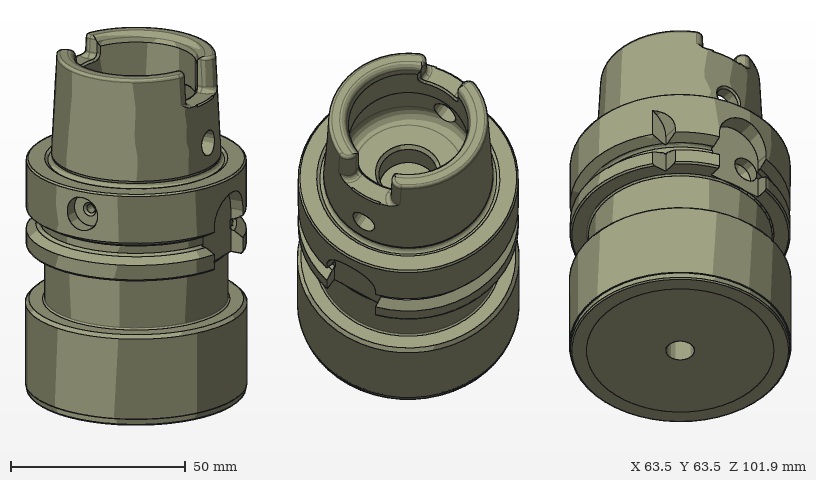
import cadquery as cq
import math

NUT_HEIGHT = 27.4
TOTAL_HEIGHT = 101.9
FLANGE_BOTTOM = 43.8
FLANGE_TOP = 70.1
TAPER_BOTTOM = 71.6

NUT_DIAMETER = 63.5
NUT_RADIUS = NUT_DIAMETER / 2
NUT_TOP_CHAMFER = 1.0
NUT_LIP_RADIUS = 31.4
NUT_LIP_HEIGHT = 2.0
NUT_LIP_CHAMFER = 0.4
NUT_BORE_RADIUS = 26.8

BODY_RADIUS = 26.3
BODY_FILLET = NUT_BORE_RADIUS - BODY_RADIUS
FLANGE_RADIUS = 31.5
FLANGE_EDGE_CHAMFER = 0.5

GROOVE_RADIUS = 27.5
GROOVE_MIDDLE = 52.1
GROOVE_HALF_WIDTH = 3.4
GROOVE_CONE_RADIUS = 28.7
GROOVE_CONE_HALF_WIDTH = 1.7
GROOVE_FLOOR_HALF_WIDTH = 1.1
GROOVE_FILLET = 1.2

TAPER_BASE_RADIUS = 24.3
TAPER_TOP_RADIUS = 22.7
RIM_EDGE_FILLET = 0.9

RELIEF_NECK_RADIUS = 24.0
RELIEF_NECK_HEIGHT = 70.9
RELIEF_FLOOR_RADIUS = 25.3
RELIEF_FLOOR_HEIGHT = 69.6
RELIEF_FILLET = 1.4
RELIEF_OUTER_RADIUS = 26.2

MOUTH_RADIUS = 19.7
MOUTH_FILLET = 2.1
MOUTH_FILLET_WIDTH = 2.0
MOUTH_FILLET_HEIGHT = 1.4
MOUTH_BORE_RADIUS = 17.1
MOUTH_BORE_TOP = 99.1
LIP_BOTTOM = 89.0
CLAMP_CONE_ANGLE = 30.0
CAVITY_RADIUS = 19.8
CAVITY_FILLET = 3.9
CAVITY_FLOOR = 73.2
TUBE_SEAT_RADIUS = 8.4
TUBE_SEAT_CHAMFER = 1.0
TUBE_SEAT_DEPTH = 8.2
COOLANT_HOLE_RADIUS = 4.1

RIM_SLOT_WIDTH = 12.5
RIM_SLOT_FLOOR_FILLET = 1.5
RIM_SLOT_START = 8.6
RIM_SLOTS = ((-1, 95.5, 2.2), (1, 91.5, 2.9))
RIM_SLOT_EDGE_CHAMFER = 0.4
RIM_SLOT_INNER_CHAMFER = 0.6

FLANGE_SLOT_WIDTH = 16.5
FLANGE_SLOT_TOP = 65.2
FLANGE_SLOT_FLOOR = 26.4
NOTCH_FLOOR = 20.0
NOTCH_CENTRE_Y = 27.9

CROSS_HOLE_RADIUS = 3.7
CROSS_HOLE_HEIGHT = 78.9
CROSS_HOLE_CHAMFER = 0.6
DATA_HOLE_RADIUS = 5.0
DATA_HOLE_HEIGHT = 62.9
DATA_HOLE_FLOOR = 26.9
VENT_RADIUS = 1.3
VENT_CHAMFER = 0.7
VENT_DEPTH = 4.1
DIMPLE_RADIUS = 3.9
DIMPLE_Y = -4.0
DIMPLE_DEPTH = 3.1
DIMPLE_POINT_ANGLE = 118.0

PICK = 0.1


def revolve_profile(profile):
    """Turn a closed radius-height outline about the Z axis."""
    return profile.close().revolve(360, (0, 0, 0), (0, 1, 0))


def make_nut():
    return revolve_profile(
        cq.Workplane("XZ")
        .moveTo(NUT_BORE_RADIUS, 0)
        .lineTo(NUT_LIP_RADIUS - NUT_LIP_CHAMFER, 0)
        .lineTo(NUT_LIP_RADIUS, NUT_LIP_CHAMFER)
        .lineTo(NUT_LIP_RADIUS, NUT_LIP_HEIGHT)
        .lineTo(NUT_RADIUS, NUT_LIP_HEIGHT)
        .lineTo(NUT_RADIUS, NUT_HEIGHT - NUT_TOP_CHAMFER)
        .lineTo(NUT_RADIUS - NUT_TOP_CHAMFER, NUT_HEIGHT)
        .lineTo(NUT_BORE_RADIUS, NUT_HEIGHT)
    )


def make_holder_blank():
    """Solid of revolution: threaded plug, body, grooved flange and taper."""
    groove = GROOVE_MIDDLE
    chamfer = FLANGE_EDGE_CHAMFER
    return revolve_profile(
        cq.Workplane("XZ")
        .moveTo(0, 0)
        .lineTo(NUT_BORE_RADIUS, 0)
        .lineTo(NUT_BORE_RADIUS, NUT_HEIGHT)
        .radiusArc((BODY_RADIUS, NUT_HEIGHT + BODY_FILLET), BODY_FILLET)
        .lineTo(BODY_RADIUS, FLANGE_BOTTOM - BODY_FILLET)
        .radiusArc((BODY_RADIUS + BODY_FILLET, FLANGE_BOTTOM), BODY_FILLET)
        .lineTo(FLANGE_RADIUS - chamfer, FLANGE_BOTTOM)
        .lineTo(FLANGE_RADIUS, FLANGE_BOTTOM + chamfer)
        .lineTo(FLANGE_RADIUS, groove - GROOVE_HALF_WIDTH)
        .lineTo(GROOVE_CONE_RADIUS, groove - GROOVE_CONE_HALF_WIDTH)
        .radiusArc((GROOVE_RADIUS, groove - GROOVE_FLOOR_HALF_WIDTH), GROOVE_FILLET)
        .lineTo(GROOVE_RADIUS, groove + GROOVE_FLOOR_HALF_WIDTH)
        .radiusArc((GROOVE_CONE_RADIUS, groove + GROOVE_CONE_HALF_WIDTH), GROOVE_FILLET)
        .lineTo(FLANGE_RADIUS, groove + GROOVE_HALF_WIDTH)
        .lineTo(FLANGE_RADIUS, FLANGE_TOP - chamfer)
        .lineTo(FLANGE_RADIUS - chamfer, FLANGE_TOP)
        .lineTo(RELIEF_OUTER_RADIUS, FLANGE_TOP)
        .lineTo(RELIEF_FLOOR_RADIUS, RELIEF_FLOOR_HEIGHT)
        .radiusArc((RELIEF_NECK_RADIUS, RELIEF_NECK_HEIGHT), RELIEF_FILLET)
        .lineTo(TAPER_BASE_RADIUS, TAPER_BOTTOM)
        .lineTo(TAPER_TOP_RADIUS, TOTAL_HEIGHT)
        .lineTo(0, TOTAL_HEIGHT)
    )


def make_cavity():
    """Void of the hollow taper with its clamping undercut, tube seat and coolant hole."""
    clamp_drop = (CAVITY_RADIUS - MOUTH_BORE_RADIUS) * math.tan(math.radians(CLAMP_CONE_ANGLE))
    seat_rim = TUBE_SEAT_RADIUS + TUBE_SEAT_CHAMFER
    return revolve_profile(
        cq.Workplane("XZ")
        .moveTo(0, TOTAL_HEIGHT)
        .lineTo(MOUTH_RADIUS, TOTAL_HEIGHT)
        .radiusArc((MOUTH_RADIUS - MOUTH_FILLET_WIDTH, TOTAL_HEIGHT - MOUTH_FILLET_HEIGHT), -MOUTH_FILLET)
        .lineTo(MOUTH_BORE_RADIUS, MOUTH_BORE_TOP)
        .lineTo(MOUTH_BORE_RADIUS, LIP_BOTTOM)
        .lineTo(CAVITY_RADIUS, LIP_BOTTOM - clamp_drop)
        .lineTo(CAVITY_RADIUS, CAVITY_FLOOR + CAVITY_FILLET)
        .radiusArc((CAVITY_RADIUS - CAVITY_FILLET, CAVITY_FLOOR), CAVITY_FILLET)
        .lineTo(seat_rim, CAVITY_FLOOR)
        .lineTo(TUBE_SEAT_RADIUS, CAVITY_FLOOR - TUBE_SEAT_CHAMFER)
        .lineTo(TUBE_SEAT_RADIUS, CAVITY_FLOOR - TUBE_SEAT_DEPTH)
        .lineTo(COOLANT_HOLE_RADIUS, CAVITY_FLOOR - TUBE_SEAT_DEPTH)
        .lineTo(COOLANT_HOLE_RADIUS, 0)
        .lineTo(0, 0)
    )


def cut_rim_slots(holder):
    """Cut both drive slots, flare their outer corners, then round the rim and the slot floors."""
    half = RIM_SLOT_WIDTH / 2
    length = NUT_RADIUS - RIM_SLOT_START
    for side, floor, _ in RIM_SLOTS:
        depth = TOTAL_HEIGHT - floor
        slot = cq.Workplane("XY").box(length, RIM_SLOT_WIDTH, depth, centered=(True, True, False))
        holder = holder.cut(slot.translate((side * (RIM_SLOT_START + length / 2), 0, floor)))

    floor_edges = []
    for side, floor, flare in RIM_SLOTS:
        corners = []
        for wall in (-half, half):
            near, far = wall - PICK, wall + PICK
            corner_box = cq.selectors.BoxSelector(
                (side * MOUTH_RADIUS, near, floor + PICK),
                (side * TAPER_BASE_RADIUS, far, TOTAL_HEIGHT - PICK),
            )
            corners += holder.edges(corner_box).vals()
            floor_edges.append(
                cq.selectors.BoxSelector(
                    (side * RIM_SLOT_START, near, floor - PICK), (side * MOUTH_RADIUS, far, floor + PICK)
                )
            )
        holder = holder.newObject(corners).fillet(flare)

    holder = holder.faces(">Z").edges().fillet(RIM_EDGE_FILLET)
    walls = [edge for box in floor_edges for edge in holder.edges(box).vals()]
    holder = holder.newObject(walls).fillet(RIM_SLOT_FLOOR_FILLET)
    for side, floor, _ in RIM_SLOTS:
        holder = holder.cut(make_floor_edge_chamfer(side, floor))
    return holder


def make_floor_edge_chamfer(side, floor):
    """Cutter that breaks the outer edge of the flat part of a drive slot floor."""
    slope = (TAPER_BASE_RADIUS - TAPER_TOP_RADIUS) / (TOTAL_HEIGHT - TAPER_BOTTOM)
    edge_radius = TAPER_TOP_RADIUS + slope * (TOTAL_HEIGHT - floor)
    size = RIM_SLOT_EDGE_CHAMFER
    ring = revolve_profile(
        cq.Workplane("XZ")
        .moveTo(edge_radius - size, floor)
        .lineTo(edge_radius + size, floor)
        .lineTo(edge_radius + size, floor - 2 * size)
    )
    flat_width = RIM_SLOT_WIDTH - 2 * RIM_SLOT_FLOOR_FILLET
    window = cq.Workplane("XY").box(NUT_RADIUS, flat_width, 2 * TOTAL_HEIGHT)
    return ring.intersect(window.translate((side * NUT_RADIUS, 0, 0)))


def chamfer_slot_inner_edges(holder):
    """Chamfer the edges where the drive slots open into the bore."""
    half = RIM_SLOT_WIDTH / 2
    edges = []
    for side, floor, _ in RIM_SLOTS:
        window = cq.selectors.BoxSelector(
            (side * RIM_SLOT_START, -half - PICK, floor - PICK),
            (side * (MOUTH_BORE_RADIUS + PICK), half + PICK, MOUTH_BORE_TOP),
        )
        for edge in holder.edges(window).vals():
            points = [edge.positionAt(place) for place in (0, 0.5, 1)]
            if all(abs(math.hypot(point.x, point.y) - MOUTH_BORE_RADIUS) < PICK for point in points):
                edges.append(edge)
    return holder.newObject(edges).chamfer(RIM_SLOT_INNER_CHAMFER)


def make_flange_slot(side, centre_y, floor):
    """Cutter for a round-topped slot, open at the flange bottom, with a flat floor."""
    half = FLANGE_SLOT_WIDTH / 2
    arc_centre = FLANGE_SLOT_TOP - half
    return (
        cq.Workplane("YZ", origin=(side * floor, 0, 0))
        .moveTo(centre_y - half, FLANGE_BOTTOM)
        .lineTo(centre_y - half, arc_centre)
        .threePointArc((centre_y, FLANGE_SLOT_TOP), (centre_y + half, arc_centre))
        .lineTo(centre_y + half, FLANGE_BOTTOM)
        .close()
        .extrude(side * (NUT_RADIUS - floor))
    )


def make_data_hole():
    """Flat-bottomed hole on the -Y side with a small chamfered vent hole in its floor."""
    recess = (
        cq.Workplane("XZ", origin=(0, -DATA_HOLE_FLOOR, DATA_HOLE_HEIGHT))
        .circle(DATA_HOLE_RADIUS)
        .extrude(NUT_RADIUS - DATA_HOLE_FLOOR)
    )
    vent_rim = VENT_RADIUS + VENT_CHAMFER
    vent = (
        cq.Workplane("XY")
        .moveTo(0, 0)
        .lineTo(vent_rim, 0)
        .lineTo(VENT_RADIUS, VENT_CHAMFER)
        .lineTo(VENT_RADIUS, VENT_DEPTH)
        .lineTo(0, VENT_DEPTH + VENT_RADIUS)
        .close()
        .revolve(360, (0, 0, 0), (0, 1, 0))
        .translate((0, -DATA_HOLE_FLOOR, DATA_HOLE_HEIGHT))
    )
    return recess.union(vent)


def make_dimple():
    """Drilled blind hole with a conical point in the floor of the -X flange slot."""
    point = DIMPLE_RADIUS / math.tan(math.radians(DIMPLE_POINT_ANGLE / 2))
    return (
        cq.Workplane("XY")
        .moveTo(0, 0)
        .lineTo(0, DIMPLE_RADIUS)
        .lineTo(DIMPLE_DEPTH, DIMPLE_RADIUS)
        .lineTo(DIMPLE_DEPTH + point, 0)
        .close()
        .revolve(360, (0, 0, 0), (1, 0, 0))
        .translate((-FLANGE_SLOT_FLOOR, DIMPLE_Y, GROOVE_MIDDLE))
    )


def cut_cross_hole(holder):
    """Drill through both taper walls and chamfer the outer edges."""
    drill = (
        cq.Workplane("YZ", origin=(-NUT_RADIUS, 0, CROSS_HOLE_HEIGHT))
        .circle(CROSS_HOLE_RADIUS)
        .extrude(2 * NUT_RADIUS)
    )
    holder = holder.cut(drill)
    mouths = []
    for side in (-1, 1):
        around_mouth = cq.selectors.BoxSelector(
            (side * TAPER_TOP_RADIUS, -PICK, CROSS_HOLE_HEIGHT - PICK),
            (side * TAPER_BASE_RADIUS, PICK, CROSS_HOLE_HEIGHT + PICK),
        )
        mouths += holder.edges(around_mouth).vals()
    return holder.newObject(mouths).chamfer(CROSS_HOLE_CHAMFER)


def make_holder():
    holder = cut_rim_slots(make_holder_blank())
    holder = chamfer_slot_inner_edges(holder.cut(make_cavity()))
    for side in (-1, 1):
        holder = holder.cut(make_flange_slot(side, 0, FLANGE_SLOT_FLOOR))
    holder = holder.cut(make_flange_slot(-1, NOTCH_CENTRE_Y, NOTCH_FLOOR))
    holder = holder.cut(make_data_hole())
    holder = holder.cut(make_dimple())
    return cut_cross_hole(holder)


nut = make_nut()
holder = make_holder()

result = cq.Compound.makeCompound([holder.val(), nut.val()])